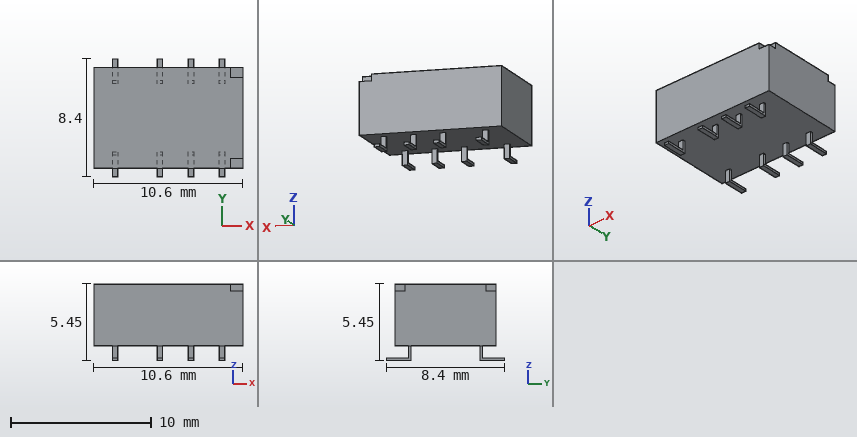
import cadquery as cq

body_length = 10.6
body_width = 7.19
overall_width = 8.4
overall_height = 5.45
standoff = 1.05

notch_length = 0.91
notch_width = 0.72
notch_depth = 0.5

lead_width = 0.4
lead_thickness = 0.2
row_spacing = 5.08
end_margin = 1.5
lead_pitch = 2.2

body_height = overall_height - standoff
last_lead_x = body_length / 2 - end_margin
lead_positions = [
    -last_lead_x,
    last_lead_x - 2 * lead_pitch,
    last_lead_x - lead_pitch,
    last_lead_x,
]


def make_housing():
    """Rectangular case with a rectangular notch in each +X top corner."""
    block = cq.Workplane("XY").box(body_length, body_width, body_height, centered=(True, True, False))
    block = block.translate((0, 0, standoff))
    notches = (
        cq.Workplane("XY", origin=(0, 0, overall_height))
        .pushPoints([
            (body_length / 2 - notch_length / 2, side * (body_width - notch_width) / 2)
            for side in (-1, 1)
        ])
        .rect(notch_length, notch_width)
        .extrude(-notch_depth)
    )
    return block.cut(notches)


def make_lead(x, side):
    """Lead under the housing: a vertical leg and a foot that points outward to the given Y side."""
    inner_y = side * (row_spacing - lead_thickness) / 2
    outer_y = side * (row_spacing + lead_thickness) / 2
    tip_y = side * overall_width / 2
    return (
        cq.Workplane("YZ", origin=(x, 0, 0))
        .polyline([
            (inner_y, 0),
            (tip_y, 0),
            (tip_y, lead_thickness),
            (outer_y, lead_thickness),
            (outer_y, standoff),
            (inner_y, standoff),
        ])
        .close()
        .extrude(lead_width / 2, both=True)
    )


housing = make_housing()
leads = [make_lead(x, side) for side in (-1, 1) for x in lead_positions]

result = cq.Compound.makeCompound([housing.val(), *[lead.val() for lead in leads]])